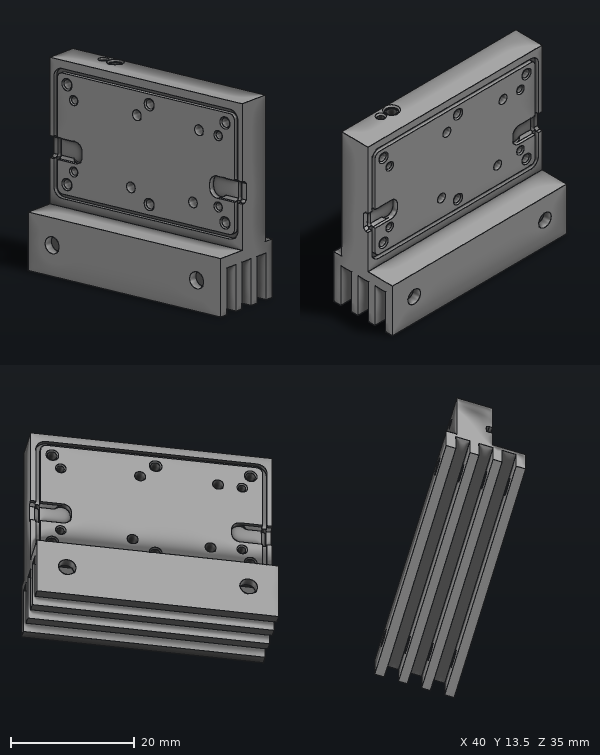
import cadquery as cq

LENGTH = 40.0
DEPTH = 13.5
HEIGHT = 35.0

BASE_HEIGHT = 10.0
BASE_ROOF = 2.0
FIN_GAP = 2.4
FIN_PITCH = 3.9
FIN_GAP_COUNT = 3
FIN_HOLE_DIAMETER = 2.9
FIN_HOLE_X = 15.0
FIN_HOLE_Z = 5.3

PLATE_THICKNESS = 6.1
PLATE_SETBACK = 1.8
PLATE_BACK = DEPTH - PLATE_SETBACK
PLATE_FRONT = PLATE_BACK - PLATE_THICKNESS
PLATE_MID_Z = (BASE_HEIGHT + HEIGHT) / 2

GROOVE_WIDTH = 0.75
GROOVE_DEPTH = 0.75
GROOVE_EDGE_MARGIN = 0.9
GROOVE_OUTER_LENGTH = LENGTH - 2 * GROOVE_EDGE_MARGIN
GROOVE_OUTER_HEIGHT = 22.15
GROOVE_OUTER_RADIUS = 1.75
GROOVE_CENTRE_X = LENGTH / 2 - GROOVE_EDGE_MARGIN - GROOVE_WIDTH / 2

NOTCH_LENGTH = 6.75
NOTCH_HEIGHT = 3.75
NOTCH_DEPTH = 1.05
NOTCH_CHAMFER = 0.5
NOTCH_END_RADIUS = 1.5
NOTCH_MID_Z = PLATE_MID_Z - 2.75
SEAL_SLOT_HEIGHT = 3.45

COVER_HOLE_DIAMETER = 1.6
COVER_HOLE_MOUTH = 2.1
COVER_HOLE_X = (-16.4, 0.7, 16.4)
COVER_HOLE_Z = 8.5
CLAMP_HOLE_DIAMETER = 1.25
CLAMP_HOLE_MOUTH = 1.7
CLAMP_HOLE_X = 15.0
CLAMP_HOLE_Z = 6.1
PLAIN_HOLE_DIAMETER = 1.8
PLAIN_HOLE_PITCH_X = 12.9
PLAIN_HOLE_UPPER_X = -1.9
PLAIN_HOLE_LOWER_X = -3.1
PLAIN_HOLE_UPPER_Z = 6.2
PLAIN_HOLE_LOWER_Z = -6.35

TOP_HOLE_Y = PLATE_BACK - 1.5
LARGE_TOP_HOLE_X = -10.0
LARGE_TOP_DIAMETERS = (2.9, 2.3, 1.8)
LARGE_TOP_BORE_DEPTH = 0.4
LARGE_TOP_PILOT_DEPTH = 8.0
SMALL_TOP_HOLE_X = -12.5
SMALL_TOP_DIAMETERS = (1.8, 1.2, 0.7)
SMALL_TOP_BORE_DEPTH = 3.0
SMALL_TOP_PILOT_DEPTH = 4.0


def block(length, depth, height, x, y, z):
    """Box centred on x, with its front at y and its bottom at z."""
    return cq.Workplane("XY", origin=(x, y, z)).box(length, depth, height, centered=(True, False, False))


def front_plane(z):
    """Sketch plane on the plate's front face; a negative extrusion goes into the plate."""
    return cq.Workplane("XZ", origin=(0, PLATE_FRONT, z))


def mirrored(tool):
    return tool.union(tool.mirror("YZ"))


def finned_base():
    base = block(LENGTH, DEPTH, BASE_HEIGHT, 0, 0, 0)
    first_gap = (DEPTH - FIN_GAP - FIN_PITCH * (FIN_GAP_COUNT - 1)) / 2
    for index in range(FIN_GAP_COUNT):
        gap_front = first_gap + index * FIN_PITCH
        base = base.cut(block(LENGTH, FIN_GAP, BASE_HEIGHT - BASE_ROOF, 0, gap_front, 0))
    hole_spots = [(-FIN_HOLE_X, FIN_HOLE_Z), (FIN_HOLE_X, FIN_HOLE_Z)]
    holes = cq.Workplane("XZ").pushPoints(hole_spots).circle(FIN_HOLE_DIAMETER / 2).extrude(-DEPTH)
    return base.cut(holes)


def rounded_prism(length, height, radius, depth):
    return front_plane(PLATE_MID_Z).rect(length, height).extrude(-depth).edges("|Y").fillet(radius)


def seal_groove():
    outer = rounded_prism(GROOVE_OUTER_LENGTH, GROOVE_OUTER_HEIGHT, GROOVE_OUTER_RADIUS, GROOVE_DEPTH)
    inner = rounded_prism(
        GROOVE_OUTER_LENGTH - 2 * GROOVE_WIDTH,
        GROOVE_OUTER_HEIGHT - 2 * GROOVE_WIDTH,
        GROOVE_OUTER_RADIUS - GROOVE_WIDTH,
        GROOVE_DEPTH,
    )
    return outer.cut(inner)


def upright_slot(x, height, width, depth):
    """Round-ended vertical slot cut into the front face at the notch height."""
    return front_plane(NOTCH_MID_Z).center(x, 0).slot2D(height, width, 90).extrude(-depth)


def right_notch():
    end_slot_x = LENGTH / 2 - NOTCH_LENGTH + NOTCH_END_RADIUS
    channel_length = LENGTH / 2 - end_slot_x
    channel = block(
        channel_length, NOTCH_DEPTH, NOTCH_HEIGHT,
        end_slot_x + channel_length / 2, PLATE_FRONT, NOTCH_MID_Z - NOTCH_HEIGHT / 2,
    )
    channel = channel.edges("|X and >Y").chamfer(NOTCH_CHAMFER)
    end_slot = upright_slot(end_slot_x, NOTCH_HEIGHT, 2 * NOTCH_END_RADIUS, NOTCH_DEPTH)
    seal_slot = upright_slot(GROOVE_CENTRE_X, SEAL_SLOT_HEIGHT, GROOVE_WIDTH, NOTCH_DEPTH + GROOVE_DEPTH)
    return channel.union(end_slot).union(seal_slot)


def through_holes(spots, diameter):
    return front_plane(PLATE_MID_Z).pushPoints(spots).circle(diameter / 2).extrude(-PLATE_THICKNESS)


def countersunk_holes(spots, diameter, mouth):
    """Through holes with a 45 degree countersink on the front face."""
    cone_depth = (mouth - diameter) / 2
    tool = through_holes(spots, diameter)
    for x, z in spots:
        cone = cq.Solid.makeCone(
            mouth / 2, diameter / 2, cone_depth,
            pnt=cq.Vector(x, PLATE_FRONT, PLATE_MID_Z + z), dir=cq.Vector(0, 1, 0),
        )
        tool = tool.union(cq.Workplane(cone))
    return tool


def stepped_top_hole(x, diameters, bore_depth, pilot_depth):
    """Blind hole from the top: 45 degree countersink, bore, then a narrower pilot."""
    mouth_radius, bore_radius, pilot_radius = [diameter / 2 for diameter in diameters]
    profile = [
        (0, 0),
        (mouth_radius, 0),
        (bore_radius, bore_radius - mouth_radius),
        (bore_radius, -bore_depth),
        (pilot_radius, -bore_depth),
        (pilot_radius, -pilot_depth),
        (0, -pilot_depth),
    ]
    plane = cq.Workplane("XZ", origin=(x, TOP_HOLE_Y, HEIGHT))
    return plane.polyline(profile).close().revolve(360, (0, 0), (0, 1))


cover_spots = [(x, z) for x in COVER_HOLE_X for z in (-COVER_HOLE_Z, COVER_HOLE_Z)]
clamp_spots = [(x, z) for x in (-CLAMP_HOLE_X, CLAMP_HOLE_X) for z in (-CLAMP_HOLE_Z, CLAMP_HOLE_Z)]
plain_rows = ((PLAIN_HOLE_UPPER_X, PLAIN_HOLE_UPPER_Z), (PLAIN_HOLE_LOWER_X, PLAIN_HOLE_LOWER_Z))
plain_spots = [(x + shift, z) for x, z in plain_rows for shift in (0, PLAIN_HOLE_PITCH_X)]

plate = block(LENGTH, PLATE_THICKNESS, HEIGHT - BASE_HEIGHT, 0, PLATE_FRONT, BASE_HEIGHT)
plate = plate.cut(seal_groove())
plate = plate.cut(mirrored(right_notch()))
plate = plate.cut(countersunk_holes(cover_spots, COVER_HOLE_DIAMETER, COVER_HOLE_MOUTH))
plate = plate.cut(countersunk_holes(clamp_spots, CLAMP_HOLE_DIAMETER, CLAMP_HOLE_MOUTH))
plate = plate.cut(through_holes(plain_spots, PLAIN_HOLE_DIAMETER))
plate = plate.cut(
    stepped_top_hole(LARGE_TOP_HOLE_X, LARGE_TOP_DIAMETERS, LARGE_TOP_BORE_DEPTH, LARGE_TOP_PILOT_DEPTH)
)
plate = plate.cut(
    stepped_top_hole(SMALL_TOP_HOLE_X, SMALL_TOP_DIAMETERS, SMALL_TOP_BORE_DEPTH, SMALL_TOP_PILOT_DEPTH)
)

result = finned_base().union(plate)